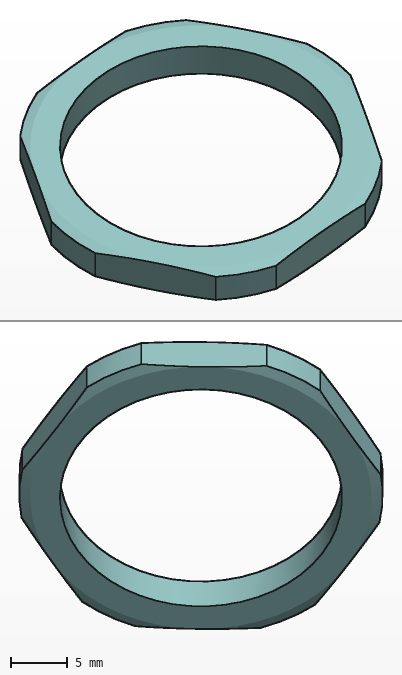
import cadquery as cq
import math

across_flats = 30.0
outer_diameter = 31.95
bore_diameter = 24.8
thickness = 3.42
chamfer_angle = 15.0

outer_radius = outer_diameter / 2
face_radius = across_flats / 2
chamfer_height = (outer_radius - face_radius) * math.tan(math.radians(chamfer_angle))
half_thickness = thickness / 2
shoulder_height = half_thickness - chamfer_height


def hexagonal_prism():
    """Hexagon with one pair of flats facing +X and -X."""
    across_corners = across_flats / math.cos(math.radians(30))
    prism = cq.Workplane("XY").polygon(6, across_corners).extrude(half_thickness, both=True)
    return prism.rotate((0, 0, 0), (0, 0, 1), 30)


def chamfered_disc():
    """Round envelope that trims the hexagon corners and chamfers both ends."""
    half_profile = [
        (0, -half_thickness),
        (face_radius, -half_thickness),
        (outer_radius, -shoulder_height),
        (outer_radius, shoulder_height),
        (face_radius, half_thickness),
        (0, half_thickness),
    ]
    return cq.Workplane("XZ").polyline(half_profile).close().revolve(360, (0, 0, 0), (0, 1, 0))


def bore():
    return cq.Workplane("XY").circle(bore_diameter / 2).extrude(half_thickness, both=True)


result = hexagonal_prism().intersect(chamfered_disc()).cut(bore())